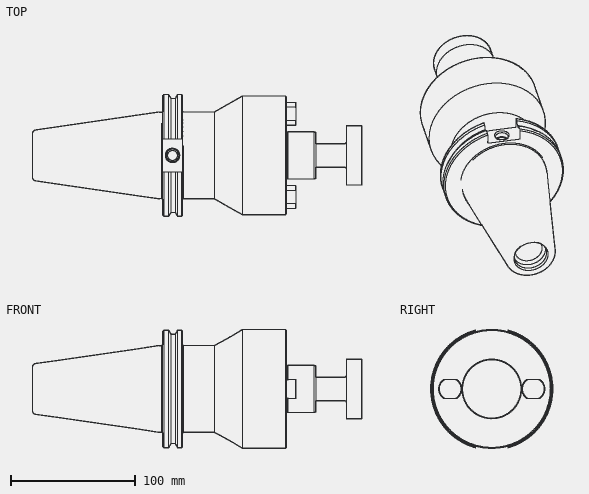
import cadquery as cq
import math

TAPER_RATIO = 7 / 24
GAUGE_DIA = 69.7
GAUGE_X = 101.2
TAPER_END_DIA = GAUGE_DIA - TAPER_RATIO * GAUGE_X
TAPER_END_FILLET = 3.2

RELIEF_X = 102.2
RELIEF_DIA = 69.5
RELIEF_FILLET = 0.8

FLANGE_DIA = 98.0
FLANGE_X = 104.4
FLANGE_WIDTH = 15.9
FLANGE_END_X = FLANGE_X + FLANGE_WIDTH
FLANGE_CHAMFER = 1.0
FLANGE_REAR_CHAMFER = 0.8
GROOVE_DIA = 91.7
GROOVE_CENTER_X = 112.8
GROOVE_FLOOR_WIDTH = 3.5
GROOVE_MOUTH_WIDTH = 7.1

SLOT_WIDTH = 26.5
SLOT_CORNER_FILLET = 0.5
UPPER_SLOT_FLOOR_Z = 37.8
LOWER_SLOT_FLOOR_Z = -35.5

SLOT_HOLE_X = 112.3
SLOT_HOLE_MOUTH_DIA = 11.5
SLOT_HOLE_CHAMFER_DEPTH = 1.3
SLOT_HOLE_THREAD_DIA = 10.0
SLOT_HOLE_DIA = 8.0
SLOT_HOLE_THREAD_DEPTH = 5.3
SLOT_HOLE_DEPTH = 10.5
DRILL_TIP_ANGLE = 118.0

NECK_FILLET = 0.8
NECK_END_X = 145.8
BODY_DIA = 95.5
BODY_X = 168.3
BODY_FACE_X = 203.5
BODY_CHAMFER = 0.8

PILOT_DIA = 38.0
PILOT_RELIEF_DIA = 36.5
PILOT_RELIEF_FLOOR = 0.8
PILOT_RELIEF_WIDTH = 1.3
PILOT_END_X = 227.2
PILOT_END_CHAMFER_LENGTH = 1.5
PILOT_END_CHAMFER_RADIAL = 0.5

BORE_MOUTH_DIA = 28.0
BORE_ENTRY_DIA = 26.5
BORE_THREAD_DIA = 22.0
BORE_DIA = 17.5
BORE_MOUTH_CHAMFER_DEPTH = 2.0
BORE_ENTRY_DEPTH = 6.5
BORE_THREAD_DEPTH = 42.3

SCREW_DIA = 19.0
SCREW_TIP_DIA = 15.9
SCREW_ENGAGEMENT = 2 * SCREW_DIA
SCREW_TIP_X = PILOT_END_X - SCREW_ENGAGEMENT
HEAD_FILLET = 1.3
HEAD_DIA = 47.8
HEAD_X = 251.5
SCREW_END_X = 264.2
HEAD_CHAMFER = 0.5

KEY_DIA = 18.5
KEY_WIDTH = 15.0
KEY_HEIGHT = 8.0
KEY_CHAMFER = 0.5
KEY_OFFSET_Y = 33.3


def revolve_about_x(outline):
    """Solid of revolution about X from (x, radius) points."""
    return cq.Workplane("XY").polyline(outline).close().revolve(360, (0, 0, 0), (1, 0, 0))


def drill_tip_length(radial_width):
    """Axial length of a drill-point cone that spans the given radial width."""
    return radial_width / math.tan(math.radians(DRILL_TIP_ANGLE / 2))


def make_corner_fillet(face_x, shaft_radius, fillet_radius, side):
    """Concave ring where a shaft meets a face normal to X; side is +1 for a shaft going to +X."""
    shaft_x = face_x + side * fillet_radius
    outer_radius = shaft_radius + fillet_radius
    sag = fillet_radius * (1 - math.sqrt(0.5))
    return (
        cq.Workplane("XY")
        .moveTo(face_x, shaft_radius)
        .lineTo(shaft_x, shaft_radius)
        .threePointArc((face_x + side * sag, shaft_radius + sag), (face_x, outer_radius))
        .close()
        .revolve(360, (0, 0, 0), (1, 0, 0))
    )


def make_outer_form():
    """Taper, flange, neck, cone, body and pilot as one turned shape."""
    taper = revolve_about_x([
        (0, 0),
        (0, TAPER_END_DIA / 2),
        (GAUGE_X, GAUGE_DIA / 2),
        (RELIEF_X, RELIEF_DIA / 2),
        (FLANGE_X, RELIEF_DIA / 2),
        (FLANGE_X, 0),
    ]).faces("<X").edges().fillet(TAPER_END_FILLET)
    neck_radius = GAUGE_DIA / 2
    body = revolve_about_x([
        (FLANGE_END_X, 0),
        (FLANGE_END_X, neck_radius),
        (NECK_END_X, neck_radius),
        (BODY_X, BODY_DIA / 2),
        (BODY_FACE_X - BODY_CHAMFER, BODY_DIA / 2),
        (BODY_FACE_X, BODY_DIA / 2 - BODY_CHAMFER),
        (BODY_FACE_X, PILOT_RELIEF_DIA / 2),
        (BODY_FACE_X + PILOT_RELIEF_FLOOR, PILOT_RELIEF_DIA / 2),
        (BODY_FACE_X + PILOT_RELIEF_WIDTH, PILOT_DIA / 2),
        (PILOT_END_X - PILOT_END_CHAMFER_LENGTH, PILOT_DIA / 2),
        (PILOT_END_X, PILOT_DIA / 2 - PILOT_END_CHAMFER_RADIAL),
        (PILOT_END_X, 0),
    ])
    relief_fillet = make_corner_fillet(FLANGE_X, RELIEF_DIA / 2, RELIEF_FILLET, -1)
    neck_fillet = make_corner_fillet(FLANGE_END_X, neck_radius, NECK_FILLET, 1)
    return taper.union(make_flange()).union(body).union(relief_fillet).union(neck_fillet)


def make_flange():
    """Flange disc with a gripper groove around its rim."""
    radius = FLANGE_DIA / 2
    rim = radius - FLANGE_CHAMFER
    groove_start = GROOVE_CENTER_X - GROOVE_MOUTH_WIDTH / 2
    groove_end = GROOVE_CENTER_X + GROOVE_MOUTH_WIDTH / 2
    floor_start = GROOVE_CENTER_X - GROOVE_FLOOR_WIDTH / 2
    floor_end = GROOVE_CENTER_X + GROOVE_FLOOR_WIDTH / 2
    return revolve_about_x([
        (FLANGE_X, 0),
        (FLANGE_X, rim),
        (FLANGE_X + FLANGE_CHAMFER, radius),
        (groove_start, radius),
        (floor_start, GROOVE_DIA / 2),
        (floor_end, GROOVE_DIA / 2),
        (groove_end, radius),
        (FLANGE_END_X - FLANGE_REAR_CHAMFER, radius),
        (FLANGE_END_X, radius - FLANGE_REAR_CHAMFER),
        (FLANGE_END_X, 0),
    ])


def make_slot(floor_z, side):
    """Cutter for a drive slot that opens upward (side +1) or downward (side -1) from its floor."""
    return (
        cq.Workplane("XY", origin=(FLANGE_X + FLANGE_WIDTH / 2, 0, floor_z))
        .rect(2 * FLANGE_WIDTH, SLOT_WIDTH)
        .extrude(side * FLANGE_DIA)
        .faces("<Z" if side > 0 else ">Z")
        .edges("|X")
        .fillet(SLOT_CORNER_FILLET)
    )


def make_slot_hole():
    """Countersunk drilled hole, going down from the upper slot floor."""
    radius = SLOT_HOLE_DIA / 2
    thread_radius = SLOT_HOLE_THREAD_DIA / 2
    mouth_radius = SLOT_HOLE_MOUTH_DIA / 2
    tip_depth = SLOT_HOLE_DEPTH + drill_tip_length(radius)
    return (
        cq.Workplane("XZ", origin=(SLOT_HOLE_X, 0, UPPER_SLOT_FLOOR_Z))
        .polyline([
            (0, 0),
            (mouth_radius, 0),
            (thread_radius, -SLOT_HOLE_CHAMFER_DEPTH),
            (thread_radius, -SLOT_HOLE_THREAD_DEPTH),
            (radius, -SLOT_HOLE_THREAD_DEPTH),
            (radius, -SLOT_HOLE_DEPTH),
            (0, -tip_depth),
        ])
        .close()
        .revolve(360, (0, 0, 0), (0, 1, 0))
    )


def make_bore():
    """Stepped bore from the taper end to the screw hole."""
    entry_shoulder = (BORE_ENTRY_DIA - BORE_THREAD_DIA) / 2
    drill_shoulder = drill_tip_length((BORE_THREAD_DIA - BORE_DIA) / 2)
    return revolve_about_x([
        (0, 0),
        (0, BORE_MOUTH_DIA / 2),
        (BORE_MOUTH_CHAMFER_DEPTH, BORE_ENTRY_DIA / 2),
        (BORE_ENTRY_DEPTH, BORE_ENTRY_DIA / 2),
        (BORE_ENTRY_DEPTH + entry_shoulder, BORE_THREAD_DIA / 2),
        (BORE_THREAD_DEPTH, BORE_THREAD_DIA / 2),
        (BORE_THREAD_DEPTH + drill_shoulder, BORE_DIA / 2),
        (SCREW_TIP_X, BORE_DIA / 2),
        (SCREW_TIP_X, SCREW_DIA / 2),
        (PILOT_END_X, SCREW_DIA / 2),
        (PILOT_END_X, 0),
    ])


def make_holder():
    """Tool holder with its drive slots, slot hole and central bore."""
    holder = make_outer_form()
    holder = holder.cut(make_slot(UPPER_SLOT_FLOOR_Z, 1))
    holder = holder.cut(make_slot(LOWER_SLOT_FLOOR_Z, -1))
    return holder.cut(make_slot_hole()).cut(make_bore())


def make_screw():
    """Arbor screw with a flat round head, seated in the front of the pilot."""
    tip_chamfer = (SCREW_DIA - SCREW_TIP_DIA) / 2
    turned = revolve_about_x([
        (SCREW_TIP_X, 0),
        (SCREW_TIP_X, SCREW_TIP_DIA / 2),
        (SCREW_TIP_X + tip_chamfer, SCREW_DIA / 2),
        (HEAD_X, SCREW_DIA / 2),
        (HEAD_X, HEAD_DIA / 2),
        (SCREW_END_X - HEAD_CHAMFER, HEAD_DIA / 2),
        (SCREW_END_X, HEAD_DIA / 2 - HEAD_CHAMFER),
        (SCREW_END_X, 0),
    ])
    return turned.union(make_corner_fillet(HEAD_X, SCREW_DIA / 2, HEAD_FILLET, -1))


def make_key(center_y):
    """Round drive key with two flats, standing on the front face."""
    key = cq.Workplane("YZ", origin=(BODY_FACE_X, center_y, 0)).circle(KEY_DIA / 2).extrude(KEY_HEIGHT)
    key = key.faces(">X").chamfer(KEY_CHAMFER)
    flats = cq.Workplane("YZ", origin=(BODY_FACE_X, center_y, 0)).rect(KEY_DIA, KEY_WIDTH).extrude(KEY_HEIGHT)
    return key.intersect(flats)


holder = make_holder()
screw = make_screw()
keys = [make_key(side * KEY_OFFSET_Y) for side in (-1, 1)]

result = cq.Compound.makeCompound([holder.val(), screw.val(), *[key.val() for key in keys]])